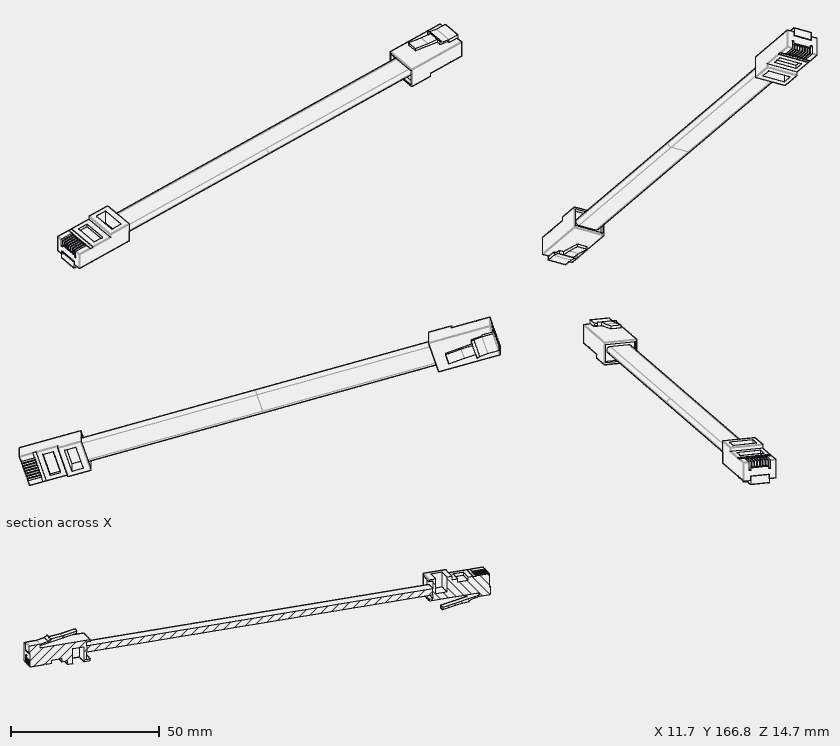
import cadquery as cq
import math


total_length = 166.8
total_height = 14.7
nose_tip_y = -total_length / 2

body_width = 11.7
body_half_height = 3.3
latch_overhang = 0.3
body_nose_y = nose_tip_y + latch_overhang
body_rear_y = -61.2
boss_top_z = 4.7
boss_front_y = -69.5
edge_radius = 0.25

window_width = 8.3
rear_window_y = (-67.5, -63.5)
rear_window_floor_z = -0.8
front_window_y = (-75.2, -71.5)
front_window_floor_z = 2.2

groove_y = (-78.2, -77.0)
groove_depth = 0.2

slot_count = 8
slot_pitch = 1.0
slot_width = 0.7
slot_rear_y = groove_y[0]
inner_slot_floor_z = 1.2
outer_slot_floor_z = 0.3

recess_side_wall = 0.5
recess_end_wall = 0.8
recess_depth = 1.3

latch_width = 6.7
stem_width = 3.7
latch_root_y = -79.4
latch_root_z = -4.7
latch_root_top_z = -1.7
latch_ramp_y = -76.5
latch_shoulder_y = -75.5
stem_bend_y = -71.5
latch_tip_y = -66.0
latch_tip_z = -total_height / 2
tip_thickness = 1.0
arm_slope = math.tan(math.radians(10))
ramp_slope = math.tan(math.radians(11))
bend_slope = math.tan(math.radians(5))

cable_thickness = 2.5
cable_width = 9.0
cable_end_y = body_rear_y - recess_depth


def centered_box(width, y_range, z_range):
    """Block centred on X = 0, between the given Y and Z limits."""
    length = y_range[1] - y_range[0]
    height = z_range[1] - z_range[0]
    block = cq.Workplane("XY").box(width, length, height, centered=(True, False, False))
    return block.translate((0, y_range[0], z_range[0]))


def side_extrusion(points, width):
    """Extrude a (y, z) outline symmetrically about X = 0."""
    return cq.Workplane("YZ").polyline(points).close().extrude(width / 2, both=True)


def plug_shell():
    """Body with the raised boss at the cable end; every edge but the one at the boss foot is rounded."""
    outline = [
        (body_nose_y, -body_half_height),
        (body_rear_y, -body_half_height),
        (body_rear_y, boss_top_z),
        (boss_front_y, boss_top_z),
        (boss_front_y, body_half_height),
        (body_nose_y, body_half_height),
    ]
    shell = side_extrusion(outline, body_width)
    boss_foot = cq.selectors.BoxSelector(
        (-body_width, boss_front_y - edge_radius, body_half_height - edge_radius),
        (body_width, boss_front_y + edge_radius, body_half_height + edge_radius),
    )
    foot_edges = shell.edges(boss_foot).vals()
    outer_edges = [edge for edge in shell.edges().vals() if edge not in foot_edges]
    return shell.newObject(outer_edges).fillet(edge_radius)


def windows():
    """Two rectangular pockets, one in the boss and one ahead of it."""
    rear = centered_box(window_width, rear_window_y, (rear_window_floor_z, boss_top_z))
    front = centered_box(window_width, front_window_y, (front_window_floor_z, boss_top_z))
    return rear.union(front)


def groove():
    """Full-width shallow channel across the top."""
    return centered_box(body_width, groove_y, (body_half_height - groove_depth, boss_top_z))


def contact_slots():
    """Row of slots; the outermost pair is deeper than the others."""
    slots = cq.Workplane("XY")
    for index in range(slot_count):
        x = (index - (slot_count - 1) / 2) * slot_pitch
        is_outer = index in (0, slot_count - 1)
        floor_z = outer_slot_floor_z if is_outer else inner_slot_floor_z
        slot = centered_box(slot_width, (nose_tip_y, slot_rear_y), (floor_z, boss_top_z))
        slots = slots.union(slot.translate((x, 0, 0)))
    return slots


def rear_recess():
    """Blind rectangular opening that takes the cable end."""
    return centered_box(
        body_width - 2 * recess_side_wall,
        (cable_end_y, body_rear_y),
        (-body_half_height + recess_end_wall, boss_top_z - recess_end_wall),
    )


def latch():
    """Wide root and ramp, then a narrow springy stem that slopes away from the body."""
    bend_z = latch_tip_z + (latch_tip_y - stem_bend_y) * arm_slope
    shoulder_z = bend_z + (stem_bend_y - latch_shoulder_y) * bend_slope
    ramp_z = latch_root_z - (latch_ramp_y - latch_root_y) * ramp_slope
    tip_inner_z = latch_tip_z + tip_thickness
    root_inner_z = tip_inner_z + (latch_tip_y - latch_root_y) * arm_slope
    shoulder_inner_z = tip_inner_z + (latch_tip_y - latch_shoulder_y) * arm_slope

    head = side_extrusion(
        [
            (nose_tip_y, latch_root_top_z),
            (nose_tip_y, latch_root_z),
            (latch_root_y, latch_root_z),
            (latch_ramp_y, ramp_z),
            (latch_shoulder_y, shoulder_z),
            (latch_shoulder_y, shoulder_inner_z),
            (latch_root_y, root_inner_z),
            (latch_root_y, latch_root_top_z),
        ],
        latch_width,
    )
    head = head.faces("<Y").edges("<Z").fillet(edge_radius)
    stem = side_extrusion(
        [
            (latch_shoulder_y, shoulder_z),
            (stem_bend_y, bend_z),
            (latch_tip_y, latch_tip_z),
            (latch_tip_y, tip_inner_z),
            (latch_shoulder_y, shoulder_inner_z),
        ],
        stem_width,
    )
    return head.union(stem)


def make_plug():
    """Complete plug as one solid, nose toward -Y."""
    plug = plug_shell()
    plug = plug.cut(windows()).cut(groove()).cut(contact_slots()).cut(rear_recess())
    return plug.union(latch())


def make_cable():
    """Flat cable with round sides, ending on the floors of the two plug recesses."""
    radius = cable_thickness / 2
    side_x = cable_width / 2
    flat_x = side_x - radius
    profile = (
        cq.Workplane("XZ")
        .moveTo(-flat_x, radius)
        .lineTo(flat_x, radius)
        .radiusArc((side_x, 0), radius)
        .radiusArc((flat_x, -radius), radius)
        .lineTo(-flat_x, -radius)
        .radiusArc((-side_x, 0), radius)
        .radiusArc((-flat_x, radius), radius)
        .close()
    )
    return profile.extrude(-cable_end_y, both=True)


plugs = [make_plug().rotate((0, 0, 0), (1, 0, 0), turn) for turn in (0, 180)]
cable = make_cable()

result = cq.Compound.makeCompound([cable.val(), *[plug.val() for plug in plugs]])